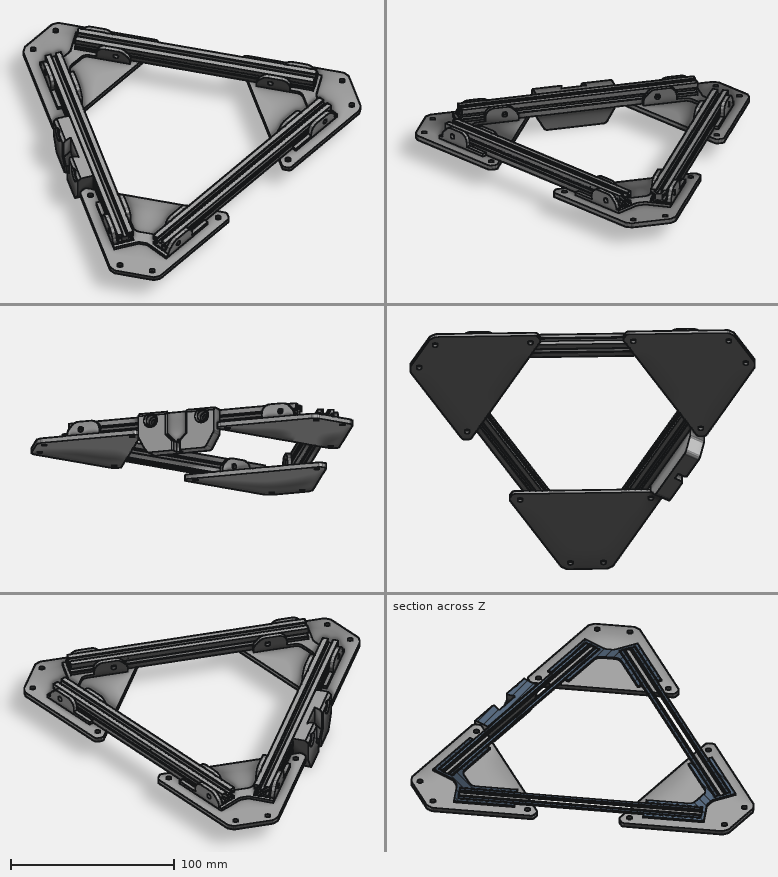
import cadquery as cq
import math

SIDES = 3
SIDE_TURN = 360 / SIDES
COS30 = math.cos(math.radians(30))
SIN30 = math.sin(math.radians(30))

BEAM_SIZE = 10.0
BEAM_LENGTH = 150.0
BEAM_RADIUS = 55.5
BEAM_CLEARANCE = 0.2
SLOT_MOUTH = 3.2
SLOT_WIDTH = 5.3
SLOT_FLOOR = 2.1
SLOT_DEPTH = 2.7
SLOT_LIP = 0.8
BEAM_BORE = 2.0
BEAM_BORE_DEPTH = 8.5

HALF_SPAN = 105.5
PLATE_THICKNESS = 3.0
PLATE_SIDE = 70.0
PLATE_INNER = 54.7
TIP_CUT = 2.3
TAB_CUT = 4.9
PLATE_ROUND = 2.3
PLATE_HOLE = 3.2
TIP_HOLE_X = 10.1
TIP_HOLE_Y = 109.8
TAB_HOLE_X = 40.1
TAB_HOLE_Y = 59.5
SPAN_VERTEX = HALF_SPAN + TIP_CUT * SIN30
PLATE_TIP = 2 * COS30 * SPAN_VERTEX - PLATE_SIDE

SEAT_HEIGHT = 2.0
SEAT_END_LIP = 2.3
SEAT_START = 39.7
SEAT_TIP = 83.0
SEAT_NOTCH_CUT = 3.2
SEAT_ROUND = 5.0
WALL = 2.7
BEAM_END = BEAM_LENGTH / 2
SEAT_END = BEAM_END + SEAT_END_LIP
POCKET_WIDTH = BEAM_SIZE + 2 * BEAM_CLEARANCE
SEAT_OUTER = BEAM_RADIUS + POCKET_WIDTH / 2 + WALL
SEAT_INNER = BEAM_RADIUS - POCKET_WIDTH / 2 - WALL

WALL_LENGTH = 21.1
WALL_CUT = 5.3
WALL_SHORT_CUT = 3.2
WALL_ROUND = 5.3
WALL_HOLE = 3.2
WALL_HOLE_INSET = 8.9

FRAME_DEPTH = 185.4
FRAME_HEIGHT = 25.1
HOLDER_WIDTH = 50.0
HOLDER_BACK = -(BEAM_RADIUS + POCKET_WIDTH / 2)
HOLDER_FRONT = PLATE_TIP - FRAME_DEPTH
HOLDER_BOTTOM = BEAM_SIZE - FRAME_HEIGHT
HOLDER_CUT_X = 5.7
HOLDER_CUT_Z = HOLDER_CUT_X / math.tan(math.radians(30))
HOLDER_ROUND = 3.0
HOLDER_CHAMFER = 2.0
SCREW_X = 16.9
SCREW_HOLE = 3.5
HEAD_BORE = 6.5
HEAD_RIM = 8.9
HEAD_DEPTH = 6.3
RIM_DEPTH = 1.0
NOTCH_BACK = HOLDER_BACK - 4.2
NOTCH_WIDTH_BACK = 16.0
NOTCH_WIDTH_FRONT = 11.8
GAP_WIDTH = 4.0
NOTCH_FLARE = 1.3
GAP_FLARE = 0.8
FLARE_DEPTH = 0.8
FUNNEL_BOTTOM = -9.0
PEG_DIAMETER = 2.1
PEG_LENGTH = 0.8
PEG_Z = -8.5


def turned(x, y):
    """The point (x, y) after a turn of one frame side about the frame axis."""
    angle = math.radians(SIDE_TURN)
    return (
        x * math.cos(angle) - y * math.sin(angle),
        x * math.sin(angle) + y * math.cos(angle),
    )


def around_frame(body):
    return [body.rotate((0, 0, 0), (0, 0, 1), side * SIDE_TURN) for side in range(SIDES)]


def upright_edge(body, x, y):
    """The vertical edge nearest to (x, y)."""
    return body.edges("|Z").edges(cq.selectors.NearestToPointSelector((x, y, 0)))


def mirrored_outline(right_half):
    """Close an outline from its right half, listed from the top to the bottom."""
    left_half = [(-x, y) for x, y in reversed(right_half) if x > 0]
    return right_half + left_half


def make_beam():
    """Front beam, with a T-slot along each of its four faces and a blind bore in its +X end."""
    half = BEAM_SIZE / 2
    beam = cq.Workplane("YZ").rect(BEAM_SIZE, BEAM_SIZE).extrude(BEAM_END, both=True)
    slot_right_half = [
        (SLOT_MOUTH / 2, half),
        (SLOT_MOUTH / 2, half - SLOT_LIP),
        (SLOT_WIDTH / 2, half - SLOT_LIP),
        (SLOT_WIDTH / 2, half - SLOT_DEPTH + (SLOT_WIDTH - SLOT_FLOOR) / 2),
        (SLOT_FLOOR / 2, half - SLOT_DEPTH),
    ]
    slot = cq.Workplane("YZ").polyline(mirrored_outline(slot_right_half)).close()
    slot = slot.extrude(BEAM_END, both=True)
    for quarter in range(4):
        beam = beam.cut(slot.rotate((0, 0, 0), (1, 0, 0), 90 * quarter))
    bore = cq.Workplane("YZ", origin=(BEAM_END, 0, 0)).circle(BEAM_BORE / 2).extrude(-BEAM_BORE_DEPTH)
    beam = beam.cut(bore)
    return beam.translate((0, -BEAM_RADIUS, half))


def make_plate():
    """Plate of the rear (+Y) corner."""
    tip_x = (PLATE_SIDE - PLATE_TIP * SIN30) / COS30
    tab_x = (PLATE_SIDE - PLATE_INNER * SIN30) / COS30
    outline = mirrored_outline([(tip_x, PLATE_TIP), (tab_x, PLATE_INNER)])
    plate = cq.Workplane("XY").polyline(outline).close().extrude(-PLATE_THICKNESS)
    holes = []
    for side in (-1, 1):
        plate = upright_edge(plate, side * tip_x, PLATE_TIP).chamfer(TIP_CUT)
        plate = upright_edge(plate, side * tab_x, PLATE_INNER).chamfer(TAB_CUT)
        holes += [(side * TIP_HOLE_X, TIP_HOLE_Y), (side * TAB_HOLE_X, TAB_HOLE_Y)]
    plate = plate.edges("|Z").fillet(PLATE_ROUND)
    drills = cq.Workplane("XY").pushPoints(holes).circle(PLATE_HOLE / 2).extrude(-PLATE_THICKNESS)
    return plate.cut(drills)


def make_seat():
    """Raised V-shaped seat whose two arms carry the ends of two beams."""
    notch_y = SEAT_END / COS30
    tip_x = (SEAT_INNER - SEAT_TIP * SIN30) / COS30
    right_half = [
        (0, notch_y),
        turned(SEAT_END, -SEAT_OUTER),
        turned(SEAT_START, -SEAT_OUTER),
        turned(SEAT_START, -SEAT_INNER),
        (tip_x, SEAT_TIP),
    ]
    seat = cq.Workplane("XY").polyline(mirrored_outline(right_half)).close().extrude(SEAT_HEIGHT)
    seat = upright_edge(seat, 0, notch_y).chamfer(SEAT_NOTCH_CUT)
    notch_cut_x = SEAT_NOTCH_CUT * COS30
    notch_cut_y = notch_y + SEAT_NOTCH_CUT * SIN30
    for side in (-1, 1):
        seat = upright_edge(seat, side * notch_cut_x, notch_cut_y).fillet(SEAT_ROUND)
        seat = upright_edge(seat, side * tip_x, SEAT_TIP).fillet(SEAT_ROUND)
    return seat


def make_wall():
    """Wall along +X with its long bevel at x = 0 and its thickness toward -Y."""
    outline = [
        (0, 0),
        (0, BEAM_SIZE - WALL_CUT),
        (WALL_CUT, BEAM_SIZE),
        (WALL_LENGTH - WALL_SHORT_CUT, BEAM_SIZE),
        (WALL_LENGTH, BEAM_SIZE - WALL_SHORT_CUT),
        (WALL_LENGTH, 0),
    ]
    wall = cq.Workplane("XZ").polyline(outline).close().extrude(WALL)
    wall = wall.edges("|Y").edges("not <Z").fillet(WALL_ROUND)
    hole = cq.Workplane("XZ").center(WALL_HOLE_INSET, BEAM_SIZE / 2).circle(WALL_HOLE / 2).extrude(WALL)
    return wall.cut(hole)


def make_corner():
    """Rear corner bracket: plate, seat and two pairs of walls, less the beam pockets."""
    wall = make_wall()
    outer_wall = wall.mirror("YZ").translate((BEAM_END, WALL - SEAT_OUTER, 0))
    inner_wall = wall.translate((SEAT_START, -SEAT_INNER, 0))
    arm_walls = outer_wall.union(inner_wall).rotate((0, 0, 0), (0, 0, 1), SIDE_TURN)
    pocket = cq.Workplane("XY").box(BEAM_LENGTH, POCKET_WIDTH, BEAM_SIZE, centered=(True, True, False))
    pocket = pocket.translate((0, -BEAM_RADIUS, 0)).rotate((0, 0, 0), (0, 0, 1), SIDE_TURN)

    corner = make_plate().union(make_seat())
    corner = corner.union(arm_walls).union(arm_walls.mirror("YZ"))
    return corner.cut(pocket).cut(pocket.mirror("YZ"))


def make_holder_block():
    half = HOLDER_WIDTH / 2
    shoulder_z = HOLDER_BOTTOM + HOLDER_CUT_Z
    right_half = [(half, BEAM_SIZE), (half, shoulder_z), (half - HOLDER_CUT_X, HOLDER_BOTTOM)]
    block = cq.Workplane("XZ", origin=(0, HOLDER_BACK, 0))
    block = block.polyline(mirrored_outline(right_half)).close().extrude(HOLDER_BACK - HOLDER_FRONT)
    block = block.edges("|Y").edges("not >Z").fillet(HOLDER_ROUND)
    return block.faces("<Y").edges(">Z").chamfer(HOLDER_CHAMFER)


def funnel_outline(top_half, gap_half):
    """Funnel between the given half-widths, open at the top and with 45 degree sides."""
    funnel_top = FUNNEL_BOTTOM + top_half - gap_half
    return mirrored_outline(
        [
            (top_half, BEAM_SIZE),
            (top_half, funnel_top),
            (gap_half, FUNNEL_BOTTOM),
            (gap_half, HOLDER_BOTTOM),
        ]
    )


def make_notch():
    """Dovetail notch, its funnel, the gap below, and the flare around its front edge."""
    depth = NOTCH_BACK - HOLDER_FRONT
    back_half = NOTCH_WIDTH_BACK / 2
    front_half = NOTCH_WIDTH_FRONT / 2
    gap_half = GAP_WIDTH / 2

    dovetail_half = [(back_half, NOTCH_BACK), (front_half, HOLDER_FRONT)]
    dovetail = cq.Workplane("XY", origin=(0, 0, HOLDER_BOTTOM))
    dovetail = dovetail.polyline(mirrored_outline(dovetail_half)).close().extrude(FRAME_HEIGHT)
    funnel = cq.Workplane("XZ", origin=(0, NOTCH_BACK, 0))
    funnel = funnel.polyline(funnel_outline(back_half, gap_half)).close().extrude(depth)

    flare = (
        cq.Workplane("XZ", origin=(0, HOLDER_FRONT + FLARE_DEPTH, 0))
        .polyline(funnel_outline(front_half, gap_half))
        .close()
        .workplane(offset=FLARE_DEPTH)
        .polyline(funnel_outline(front_half + NOTCH_FLARE, gap_half + GAP_FLARE))
        .close()
        .loft(ruled=True)
    )
    return dovetail.intersect(funnel).union(flare)


def make_screw_hole():
    """Through hole with a counterbore for the screw head and a tapered rim, on the frame's middle plane."""
    depth = HOLDER_BACK - HOLDER_FRONT
    front = cq.Workplane("XZ", origin=(0, HOLDER_FRONT, BEAM_SIZE / 2))
    shank = front.circle(SCREW_HOLE / 2).extrude(-depth)
    head = front.circle(HEAD_BORE / 2).extrude(-HEAD_DEPTH)
    rim = front.circle(HEAD_RIM / 2).workplane(offset=-RIM_DEPTH).circle(HEAD_BORE / 2).loft()
    return shank.union(head).union(rim)


def make_holder():
    holder = make_holder_block().cut(make_notch())
    screw_hole = make_screw_hole()
    for side in (-1, 1):
        holder = holder.cut(screw_hole.translate((side * SCREW_X, 0, 0)))
    peg = cq.Workplane("XZ", origin=(0, NOTCH_BACK, PEG_Z)).circle(PEG_DIAMETER / 2).extrude(PEG_LENGTH)
    return holder.union(peg)


beams = around_frame(make_beam())
beams[0] = beams[0].mirror("YZ")
corners = around_frame(make_corner())
holder = make_holder()

result = cq.Compound.makeCompound(
    [beam.val() for beam in beams] + [corner.val() for corner in corners] + [holder.val()]
)